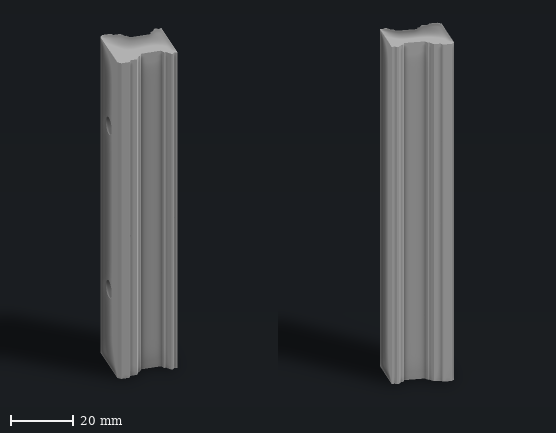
import cadquery as cq

length = 116.0
width = 20.0
height = 20.5

base_half = width / 2
body_half = 8.9
race_half = 7.2
web_half = 5.8
top_half = 8.6
notch_half = 8.1

base_chamfer = 1.0
flange_top = 4.2
lower_slope_start = 6.7
lower_step_bottom = 7.8
lower_step_top = 8.2
web_bottom = 9.0
web_top = 15.9
upper_step_bottom = 16.4
upper_step_top = 17.0
head_side_bottom = 18.3
head_side_top = 18.9
notch_height = 19.6
top_lip_bottom = 20.2

flange_round = 0.6
web_round = 0.5
head_round = 0.2
notch_round = 0.2

hole_diameter = 6.0
hole_pitch = 60.0
plug_length = 5.0
hole_heights = [-hole_pitch / 2, hole_pitch / 2]


def cylinder_along_y(diameter, start_y, depth, z):
    """Cylinder on the rail's centre plane, running from start_y toward +Y."""
    return cq.Workplane(cq.Solid.makeCylinder(
        diameter / 2, depth, cq.Vector(0, start_y, z), cq.Vector(0, 1, 0)))


def round_corners(rail, radius, corners):
    """Round the lengthwise edges through the given (half width, height) corners on both sides."""
    for half, y in corners:
        for x in (-half, half):
            edge = cq.selectors.NearestToPointSelector((x, y, 0))
            rail = rail.edges("|Z").edges(edge).fillet(radius)
    return rail


def make_rail():
    right_side = [
        (base_half - base_chamfer, 0),
        (base_half, base_chamfer),
        (base_half, flange_top),
        (body_half, flange_top),
        (body_half, lower_slope_start),
        (race_half, lower_step_bottom),
        (race_half, lower_step_top),
        (web_half, web_bottom),
        (web_half, web_top),
        (race_half, upper_step_bottom),
        (race_half, upper_step_top),
        (body_half, head_side_bottom),
        (body_half, head_side_top),
        (notch_half, notch_height),
        (top_half, top_lip_bottom),
        (top_half, height),
    ]
    left_side = [(-x, y) for x, y in reversed(right_side)]
    rail = (
        cq.Workplane("XY")
        .workplane(offset=-length / 2)
        .polyline(right_side + left_side)
        .close()
        .extrude(length)
    )
    rail = round_corners(rail, flange_round, [(base_half, flange_top), (body_half, flange_top)])
    rail = round_corners(rail, web_round, [(web_half, web_bottom), (web_half, web_top)])
    rail = round_corners(rail, head_round, [(body_half, head_side_bottom), (body_half, head_side_top)])
    rail = round_corners(rail, notch_round, [(notch_half, notch_height)])
    for z in hole_heights:
        rail = rail.cut(cylinder_along_y(hole_diameter, 0, height, z))
    return rail


def make_plug(z):
    """Plug filling the hole's +Y end, flush with the top of the rail."""
    return cylinder_along_y(hole_diameter, height - plug_length, plug_length, z)


rail = make_rail()
plugs = [make_plug(z) for z in hole_heights]

result = cq.Compound.makeCompound([rail.val(), *[plug.val() for plug in plugs]])